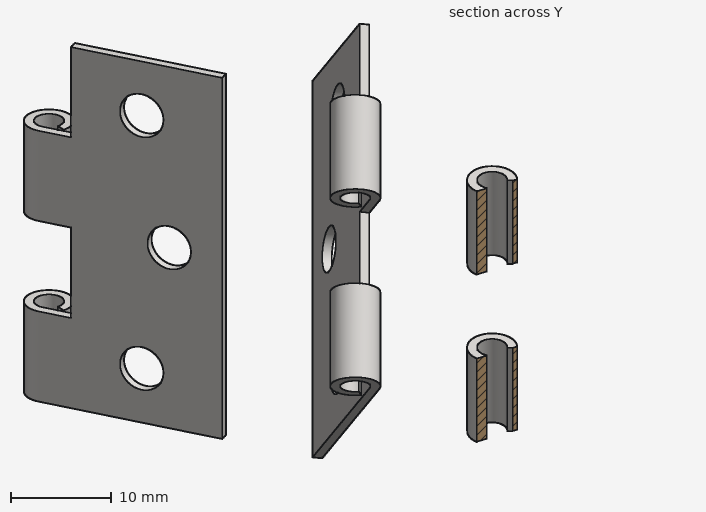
import cadquery as cq
import math

height = 40.0
thickness = 1.0
curl_diameter = 5.0
outer_radius = curl_diameter / 2
inner_radius = outer_radius - thickness
tip_angle = -30.0

leaf_start = 3.5
leaf_end = 20.0
knuckle_count = 2
knuckle_pitch = height / knuckle_count
knuckle_height = knuckle_pitch / 2

hole_diameter = 4.7
outer_hole_x = 11.25
middle_hole_offset = 3.0
hole_end_margin = 6.0


def on_circle(radius, degrees):
    angle = math.radians(degrees)
    return (radius * math.cos(angle), radius * math.sin(angle))


def make_leaf():
    return cq.Workplane("XY").box(
        leaf_end - leaf_start, thickness, height, centered=False
    ).translate((leaf_start, -outer_radius, 0))


def make_knuckle(base_z):
    """Curled tab, running from the leaf edge around the pin to the free tip."""
    return (
        cq.Workplane("XY", origin=(0, 0, base_z))
        .moveTo(leaf_start, -outer_radius)
        .lineTo(0, -outer_radius)
        .threePointArc(on_circle(outer_radius, 180), on_circle(outer_radius, tip_angle))
        .lineTo(*on_circle(inner_radius, tip_angle))
        .threePointArc(on_circle(inner_radius, 180), (0, -inner_radius))
        .lineTo(leaf_start, -inner_radius)
        .close()
        .extrude(knuckle_height)
    )


def make_screw_holes():
    centers = [
        (outer_hole_x, hole_end_margin),
        (outer_hole_x + middle_hole_offset, height / 2),
        (outer_hole_x, height - hole_end_margin),
    ]
    return (
        cq.Workplane("XZ", origin=(0, -outer_radius, 0))
        .pushPoints(centers)
        .circle(hole_diameter / 2)
        .extrude(-thickness)
    )


result = make_leaf()
for index in range(knuckle_count):
    result = result.union(make_knuckle(index * knuckle_pitch))
result = result.cut(make_screw_holes())